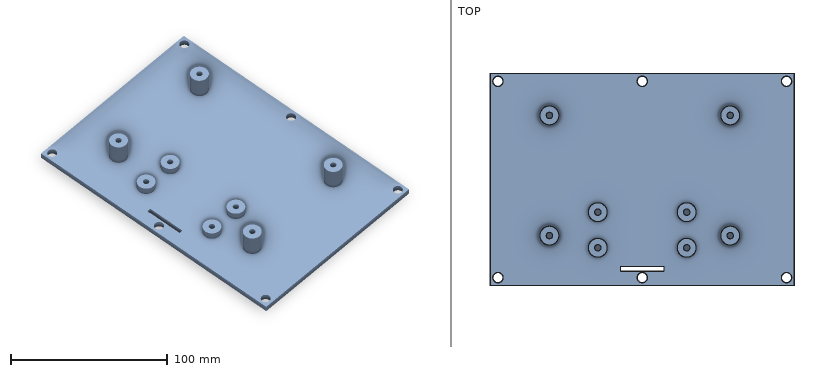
import cadquery as cq

plate_length = 195.0
plate_width = 136.0
plate_thickness = 4.0
overall_height = 19.0

mount_hole_diameter = 6.5
mount_hole_inset = 5.0

standoff_diameter = 12.0
bore_diameter = 4.0
tall_height = overall_height - plate_thickness
short_height = 5.0

tall_spacing_x = 115.8
tall_spacing_y = 77.0
tall_center = (-1.5, 2.5)
short_spacing_x = 57.0
short_spacing_y = 22.8
short_center = (0, -32.4)

slot_length = 27.7
slot_width = 3.0
slot_center_y = -57.3


def make_plate():
    """Plate with six mounting holes and a rectangular slot."""
    hole_spacing_x = plate_length / 2 - mount_hole_inset
    hole_spacing_y = plate_width - 2 * mount_hole_inset
    plate = cq.Workplane("XY").rect(plate_length, plate_width).extrude(plate_thickness)
    mount_holes = (
        cq.Workplane("XY")
        .rarray(hole_spacing_x, hole_spacing_y, 3, 2)
        .circle(mount_hole_diameter / 2)
        .extrude(plate_thickness)
    )
    slot = (
        cq.Workplane("XY")
        .center(0, slot_center_y)
        .rect(slot_length, slot_width)
        .extrude(plate_thickness)
    )
    return plate.cut(mount_holes).cut(slot)


def make_standoffs(center, spacing_x, spacing_y, height):
    """Four hollow standoffs rising from the plate's top face."""
    centers = (
        cq.Workplane("XY", origin=(0, 0, plate_thickness))
        .center(*center)
        .rarray(spacing_x, spacing_y, 2, 2)
    )
    posts = centers.circle(standoff_diameter / 2).extrude(height)
    bores = centers.circle(bore_diameter / 2).extrude(height)
    return posts.cut(bores)


tall_standoffs = make_standoffs(tall_center, tall_spacing_x, tall_spacing_y, tall_height)
short_standoffs = make_standoffs(short_center, short_spacing_x, short_spacing_y, short_height)
result = make_plate().union(tall_standoffs).union(short_standoffs)